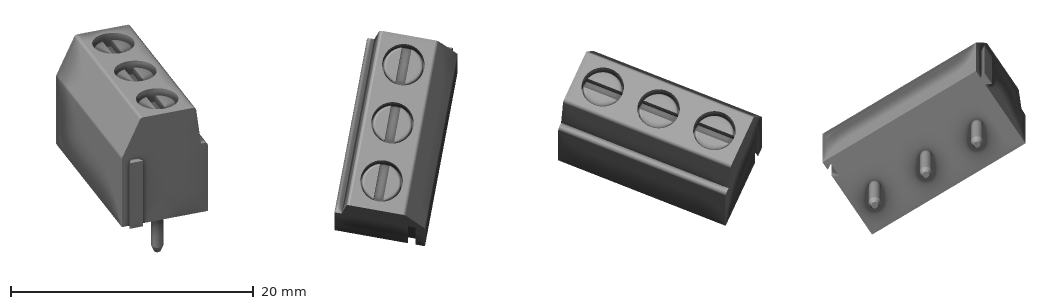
import cadquery as cq

BODY_LENGTH = 15.0
BODY_DEPTH = 7.6
BODY_HEIGHT = 10.0
SHOULDER_HEIGHT = 6.5
FRONT_TOP_SETBACK = 1.67
LEDGE_DEPTH = 0.6
REAR_TOP_SETBACK = 1.05
EDGE_RADIUS = 0.3
FRONT_BEND_RADIUS = 0.5

POLE_COUNT = 3
POLE_PITCH = BODY_LENGTH / POLE_COUNT
POLE_Y = 4.09

WELL_DIAMETER = 3.5
WELL_DEPTH = 1.5
SCREW_DIAMETER = 3.24
SCREW_RECESS = 0.5
SCREW_EDGE_RADIUS = 0.2
SLOT_WIDTH = 0.8
SLOT_DEPTH = 0.71

PIN_DIAMETER = 1.0
PIN_LENGTH = 4.35
PIN_TIP_DIAMETER = 0.56
PIN_TIP_HEIGHT = 0.55

DOVETAIL_Y = 1.1
DOVETAIL_NECK = 0.6
DOVETAIL_WIDTH = 1.2
DOVETAIL_REACH = 0.5
DOVETAIL_HEIGHT = 6.2


def make_housing():
    """Extrude the stepped end profile along X and round its long edges."""
    front_shoulder = (0, SHOULDER_HEIGHT)
    front_top = (FRONT_TOP_SETBACK, BODY_HEIGHT)
    rear_top = (BODY_DEPTH - REAR_TOP_SETBACK, BODY_HEIGHT)
    ledge_inner = (BODY_DEPTH - LEDGE_DEPTH, SHOULDER_HEIGHT)
    ledge_outer = (BODY_DEPTH, SHOULDER_HEIGHT)
    profile = [(0, 0), front_shoulder, front_top, rear_top, ledge_inner, ledge_outer, (BODY_DEPTH, 0)]
    housing = cq.Workplane("YZ").polyline(profile).close().extrude(BODY_LENGTH / 2, both=True)

    rounded_edges = [
        (front_shoulder, FRONT_BEND_RADIUS),
        (front_top, EDGE_RADIUS),
        (rear_top, EDGE_RADIUS),
        (ledge_outer, EDGE_RADIUS),
    ]
    for (y, z), radius in rounded_edges:
        housing = housing.edges(cq.selectors.NearestToPointSelector((0, y, z))).fillet(radius)
    return housing


def make_well():
    """Blind round hole in the housing top, at X = 0."""
    return (
        cq.Workplane("XY", origin=(0, POLE_Y, BODY_HEIGHT - WELL_DEPTH))
        .circle(WELL_DIAMETER / 2)
        .extrude(WELL_DEPTH)
    )


def make_screw():
    """Round-edged, slotted screw head rising from the well floor, at X = 0."""
    head_height = WELL_DEPTH - SCREW_RECESS
    slot_floor = head_height - SLOT_DEPTH
    base = cq.Workplane("XY", origin=(0, POLE_Y, BODY_HEIGHT - WELL_DEPTH))
    head = base.circle(SCREW_DIAMETER / 2).extrude(head_height)
    head = head.faces(">Z").edges().fillet(SCREW_EDGE_RADIUS)
    slot = base.workplane(offset=slot_floor).rect(SCREW_DIAMETER, SLOT_WIDTH).extrude(SLOT_DEPTH)
    return head.cut(slot)


def make_pin():
    """Round pin below the housing with a conical tip, at X = 0."""
    shank_length = PIN_LENGTH - PIN_TIP_HEIGHT
    half_profile = [
        (0, 0),
        (PIN_DIAMETER / 2, 0),
        (PIN_DIAMETER / 2, -shank_length),
        (PIN_TIP_DIAMETER / 2, -PIN_LENGTH),
        (0, -PIN_LENGTH),
    ]
    pin = cq.Workplane("XZ").polyline(half_profile).close().revolve(360, (0, 0), (0, 1))
    return pin.translate((0, POLE_Y, 0))


def make_dovetail(neck_x):
    """Vertical dovetail bar widening toward +X from its neck at neck_x."""
    wide_x = neck_x + DOVETAIL_REACH
    outline = [
        (neck_x, DOVETAIL_Y - DOVETAIL_NECK / 2),
        (wide_x, DOVETAIL_Y - DOVETAIL_WIDTH / 2),
        (wide_x, DOVETAIL_Y + DOVETAIL_WIDTH / 2),
        (neck_x, DOVETAIL_Y + DOVETAIL_NECK / 2),
    ]
    return cq.Workplane("XY").polyline(outline).close().extrude(DOVETAIL_HEIGHT)


result = make_housing()
result = result.cut(make_dovetail(-BODY_LENGTH / 2))
result = result.union(make_dovetail(BODY_LENGTH / 2))

for pole in range(POLE_COUNT):
    pole_position = ((pole - (POLE_COUNT - 1) / 2) * POLE_PITCH, 0, 0)
    result = result.cut(make_well().translate(pole_position))
    result = result.union(make_screw().translate(pole_position))
    result = result.union(make_pin().translate(pole_position))